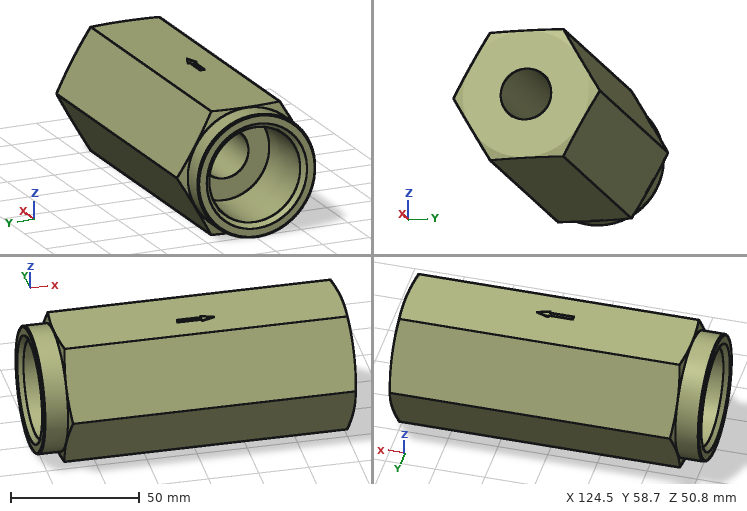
import cadquery as cq
import math

overall_length = 124.46
hex_across_flats = 50.8
hex_across_corners = hex_across_flats / math.cos(math.radians(30))

collar_diameter = 50.42
collar_length = 9.5
collar_chamfer = 0.5

corner_chamfer_angle = 15.0

mouth_diameter = 42.9
mouth_depth = 2.0
taper_start_diameter = 38.9
taper_end_depth = 21.2
bore_diameter = 38.1
bore_depth = 30.0
passage_diameter = 20.24

arrow_depth = 0.2
arrow_tail_x = -4.1
arrow_neck_x = 5.5
arrow_tip_x = 10.5
arrow_center_y = -3.3
arrow_shaft_width = 1.7
arrow_head_width = 3.6

front_x = -overall_length / 2
back_x = overall_length / 2
hex_start_x = front_x + collar_length


def revolve_about_x(profile):
    """Revolve a closed (x, radius) outline about the X axis."""
    return cq.Workplane("XY").polyline(profile).close().revolve(360, (0, 0, 0), (1, 0, 0))


def make_hex_body():
    """Hexagonal bar with flats on +Z and -Z and turned corners at both ends."""
    prism = (
        cq.Workplane("YZ", origin=(hex_start_x, 0, 0))
        .polygon(6, hex_across_corners)
        .extrude(back_x - hex_start_x)
    )
    end_radius = collar_diameter / 2
    clear_radius = hex_across_corners
    setback = (clear_radius - end_radius) * math.tan(math.radians(corner_chamfer_angle))
    turned_envelope = revolve_about_x([
        (hex_start_x, 0),
        (hex_start_x, end_radius),
        (hex_start_x + setback, clear_radius),
        (back_x - setback, clear_radius),
        (back_x, end_radius),
        (back_x, 0),
    ])
    return prism.intersect(turned_envelope)


def make_collar():
    """Round collar with a chamfered outer rim."""
    return (
        cq.Workplane("YZ", origin=(front_x, 0, 0))
        .circle(collar_diameter / 2)
        .extrude(collar_length)
        .faces("<X")
        .chamfer(collar_chamfer)
    )


def make_bore():
    """Conical mouth, slight taper and straight bore, opening into the through passage."""
    bore_floor_x = front_x + bore_depth
    return revolve_about_x([
        (front_x, 0),
        (front_x, mouth_diameter / 2),
        (front_x + mouth_depth, taper_start_diameter / 2),
        (front_x + taper_end_depth, bore_diameter / 2),
        (bore_floor_x, bore_diameter / 2),
        (bore_floor_x, passage_diameter / 2),
        (back_x, passage_diameter / 2),
        (back_x, 0),
    ])


def make_flow_arrow():
    """Shallow arrow pointing along +X, to be cut from the top flat."""
    shaft = arrow_shaft_width / 2
    head = arrow_head_width / 2
    return (
        cq.Workplane("XY", origin=(0, arrow_center_y, hex_across_flats / 2 - arrow_depth))
        .polyline([
            (arrow_tail_x, -shaft),
            (arrow_neck_x, -shaft),
            (arrow_neck_x, -head),
            (arrow_tip_x, 0),
            (arrow_neck_x, head),
            (arrow_neck_x, shaft),
            (arrow_tail_x, shaft),
        ])
        .close()
        .extrude(arrow_depth)
    )


result = make_hex_body().union(make_collar()).cut(make_bore()).cut(make_flow_arrow())